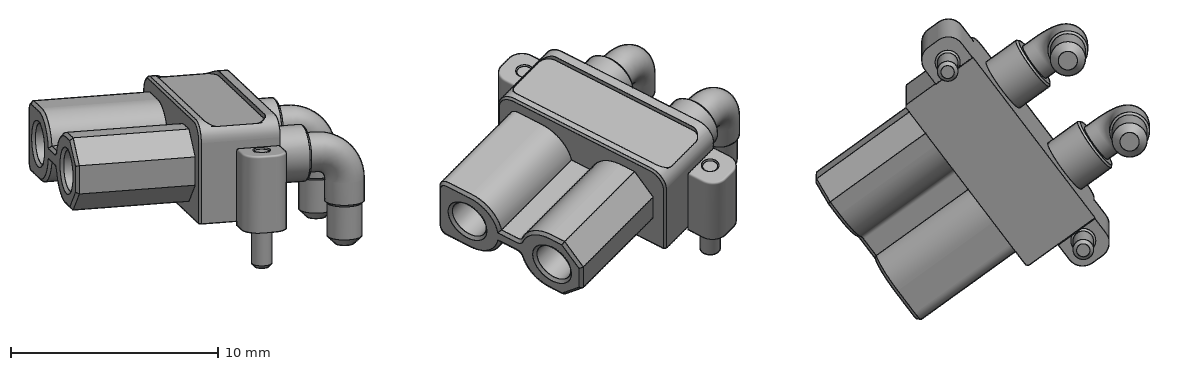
import cadquery as cq
import math


TOTAL_WIDTH = 13.3
TOTAL_LENGTH = 14.9
TOTAL_HEIGHT = 7.18
EDGE_BREAK = 0.1

CONTACT_X = 2.5
AXIS_Z = 4.68

PLUG_LENGTH = 5.96
PLUG_WIDTH = 8.5
PLUG_HEIGHT = 3.62
PLUG_CORNER_RADIUS = 0.5
PLUG_CORNER_CUT = 1.1
PLUG_EDGE_CHAMFER = 0.15
LOBE_X = 2.35
WAIST_HEIGHT = 0.8
WAIST_FILLET = 0.24
SOCKET_DIAMETER = 2.0
SOCKET_CHAMFER = 0.15
SOCKET_DEPTH = PLUG_LENGTH

BODY_WIDTH = 9.92
BODY_LENGTH = 4.08
BODY_BOTTOM = 2.2
BODY_CORNER_RADIUS = 0.94
BODY_REAR = PLUG_LENGTH + BODY_LENGTH
RECESS_WIDTH = 9.3
RECESS_LENGTH = 3.11
RECESS_DEPTH = 0.24
RECESS_CORNER_RADIUS = 0.6
RECESS_FRONT_WALL = 0.43

EAR_LENGTH = 2.2
EAR_BOTTOM = 2.01
EAR_TOP = 5.84
EAR_CORNER_RADIUS = 0.8
EAR_Y = BODY_REAR - EAR_LENGTH / 2
PEG_X = 5.5
PEG_DIAMETER = 1.0
PEG_TIP_CHAMFER = 0.18
DIMPLE_DIAMETER = 0.85
DIMPLE_DEPTH = 0.06

SLEEVE_DIAMETER = 2.75
SLEEVE_LENGTH = 1.89
PIN_DIAMETER = 1.92
BEND_RADIUS = 1.42
TAIL_DIAMETER = 1.7
SHOULDER_Z = 2.04
TAIL_TIP_CHAMFER = 0.39


def revolve_about_z(profile):
    """Solid of revolution about Z from (radius, z) points."""
    return cq.Workplane("XZ").polyline(profile).close().revolve(360, (0, 0), (0, 1))


def revolve_about_y(profile):
    """Solid of revolution about Y from (radius, y) points."""
    return cq.Workplane("XY").polyline(profile).close().revolve(360, (0, 0), (0, 1))


def make_body():
    height = TOTAL_HEIGHT - BODY_BOTTOM
    body = (
        cq.Workplane("XY")
        .box(BODY_WIDTH, BODY_LENGTH, height, centered=(True, False, False))
        .translate((0, PLUG_LENGTH, BODY_BOTTOM))
        .edges("|Y and >Z")
        .fillet(BODY_CORNER_RADIUS)
    )
    body = body.faces("<Y").edges("not <Z").chamfer(EDGE_BREAK)
    body = body.faces(">Y").edges("not <Z").fillet(EDGE_BREAK)
    recess = (
        cq.Workplane("XY")
        .box(RECESS_WIDTH, RECESS_LENGTH, RECESS_DEPTH, centered=(True, False, False))
        .edges("|Z")
        .fillet(RECESS_CORNER_RADIUS)
        .translate((0, PLUG_LENGTH + RECESS_FRONT_WALL, TOTAL_HEIGHT - RECESS_DEPTH))
    )
    return body.cut(recess)


def make_plug():
    """Plug with a rounded lobe on -X and a bevelled lobe on +X, joined by a thin waist."""
    half_width = PLUG_WIDTH / 2
    half_height = PLUG_HEIGHT / 2
    half_waist = WAIST_HEIGHT / 2
    radius = half_height
    meet_angle = math.asin(half_waist / radius)
    meet_x = LOBE_X - radius * math.cos(meet_angle)
    mid_angle = (meet_angle + math.pi / 2) / 2
    mid_x = LOBE_X - radius * math.cos(mid_angle)
    mid_z = radius * math.sin(mid_angle)

    plug = (
        cq.Workplane("XZ", origin=(0, 0, AXIS_Z))
        .moveTo(-half_width, half_height)
        .lineTo(-LOBE_X, half_height)
        .threePointArc((-mid_x, mid_z), (-meet_x, half_waist))
        .lineTo(meet_x, half_waist)
        .threePointArc((mid_x, mid_z), (LOBE_X, half_height))
        .lineTo(half_width - PLUG_CORNER_CUT, half_height)
        .lineTo(half_width, half_height - PLUG_CORNER_CUT)
        .lineTo(half_width, PLUG_CORNER_CUT - half_height)
        .lineTo(half_width - PLUG_CORNER_CUT, -half_height)
        .lineTo(LOBE_X, -half_height)
        .threePointArc((mid_x, -mid_z), (meet_x, -half_waist))
        .lineTo(-meet_x, -half_waist)
        .threePointArc((-mid_x, -mid_z), (-LOBE_X, -half_height))
        .lineTo(-half_width, -half_height)
        .close()
        .extrude(-PLUG_LENGTH)
    )
    plug = plug.edges("|Y and <X").fillet(PLUG_CORNER_RADIUS)
    right_waist_corners = cq.selectors.BoxSelector(
        (0, 0, AXIS_Z - half_height / 2),
        (LOBE_X / 2, PLUG_LENGTH, AXIS_Z + half_height / 2),
    )
    plug = plug.edges("|Y").edges(right_waist_corners).fillet(WAIST_FILLET)
    return plug.faces("<Y").edges().chamfer(PLUG_EDGE_CHAMFER)


def make_socket(x):
    radius = SOCKET_DIAMETER / 2
    profile = [
        (0, 0),
        (radius + SOCKET_CHAMFER, 0),
        (radius, SOCKET_CHAMFER),
        (radius, SOCKET_DEPTH),
        (0, SOCKET_DEPTH),
    ]
    return revolve_about_y(profile).translate((x, 0, AXIS_Z))


def make_ear_bar():
    """Full-width bar whose two ends are the mounting ears."""
    return (
        cq.Workplane("XY")
        .box(TOTAL_WIDTH, EAR_LENGTH, EAR_TOP - EAR_BOTTOM, centered=(True, True, False))
        .edges("|Z")
        .fillet(EAR_CORNER_RADIUS)
        .faces(">Z")
        .edges()
        .fillet(EDGE_BREAK)
        .translate((0, EAR_Y, EAR_BOTTOM))
    )


def make_peg(x):
    """Locating peg under an ear, with a flared root and a chamfered tip."""
    radius = PEG_DIAMETER / 2
    profile = [
        (0, 0),
        (radius - PEG_TIP_CHAMFER, 0),
        (radius, PEG_TIP_CHAMFER),
        (radius, EAR_BOTTOM - EDGE_BREAK),
        (radius + EDGE_BREAK, EAR_BOTTOM),
        (0, EAR_BOTTOM),
    ]
    return revolve_about_z(profile).translate((x, EAR_Y, 0))


def make_dimple(x):
    """Shallow tapered recess in the top of an ear, above the peg."""
    radius = DIMPLE_DIAMETER / 2
    profile = [
        (0, EAR_TOP - DIMPLE_DEPTH),
        (radius - DIMPLE_DEPTH, EAR_TOP - DIMPLE_DEPTH),
        (radius, EAR_TOP),
        (0, EAR_TOP),
    ]
    return revolve_about_z(profile).translate((x, EAR_Y, 0))


def make_gap_under_body():
    """Space below the body that the ear bar and the peg roots must leave free."""
    return cq.Workplane("XY").box(BODY_WIDTH, TOTAL_LENGTH, BODY_BOTTOM, centered=(True, False, False))


def make_sleeve(x):
    return (
        cq.Workplane("XZ", origin=(x, BODY_REAR, AXIS_Z))
        .circle(SLEEVE_DIAMETER / 2)
        .extrude(-SLEEVE_LENGTH)
        .faces(">Y")
        .chamfer(EDGE_BREAK)
    )


def make_bent_pin(x):
    """Pin leaving the body toward +Y, turning down and ending in a thinner solder tail."""
    tail_y = TOTAL_LENGTH - PIN_DIAMETER / 2
    bend_y = tail_y - BEND_RADIUS
    bend_z = AXIS_Z - BEND_RADIUS
    bend_mid = BEND_RADIUS * math.sqrt(0.5)
    pin_radius = PIN_DIAMETER / 2
    tail_radius = TAIL_DIAMETER / 2
    shoulder_top = SHOULDER_Z + pin_radius - tail_radius

    path = (
        cq.Workplane("YZ", origin=(x, 0, 0))
        .moveTo(BODY_REAR, AXIS_Z)
        .lineTo(bend_y, AXIS_Z)
        .threePointArc((bend_y + bend_mid, bend_z + bend_mid), (tail_y, bend_z))
    )
    bend = cq.Workplane("XZ", origin=(x, BODY_REAR, AXIS_Z)).circle(pin_radius).sweep(path)
    tail_profile = [
        (0, 0),
        (tail_radius - TAIL_TIP_CHAMFER, 0),
        (tail_radius, TAIL_TIP_CHAMFER),
        (tail_radius, SHOULDER_Z),
        (pin_radius, shoulder_top),
        (pin_radius, bend_z),
        (0, bend_z),
    ]
    return bend.union(revolve_about_z(tail_profile).translate((x, tail_y, 0)))


result = make_body().union(make_ear_bar())
for side in (-1, 1):
    result = result.union(make_peg(side * PEG_X))
    result = result.cut(make_dimple(side * PEG_X))
result = result.cut(make_gap_under_body())

result = result.union(make_plug())
for side in (-1, 1):
    result = result.cut(make_socket(side * CONTACT_X))
    result = result.union(make_sleeve(side * CONTACT_X))
    result = result.union(make_bent_pin(side * CONTACT_X))